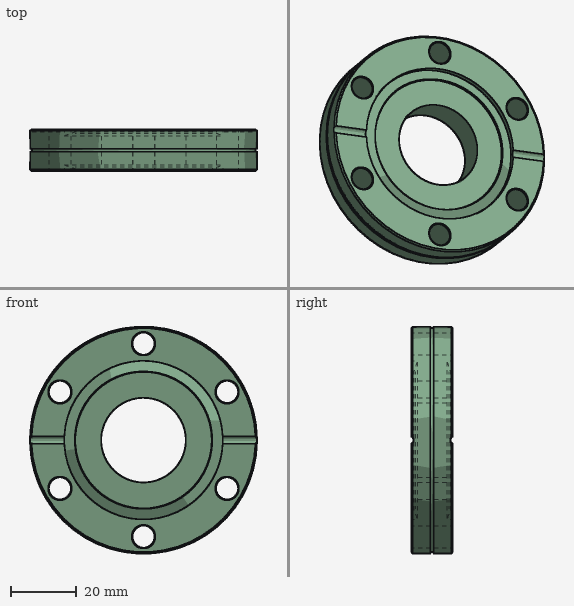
import cadquery as cq
import math

flange_diameter = 69.1
flange_thickness = 12.7
bore_diameter = 25.7
rim_chamfer = 0.5

recess_diameter = 48.26
recess_depth = 1.9
knife_diameter = 41.9
knife_angle = 20.0
knife_wall_base_diameter = 41.5
floor_depth = 1.25

bolt_count = 6
bolt_diameter = 6.7
bolt_circle_diameter = 58.7
bolt_chamfer = 0.25

leak_groove_width = 2.3
leak_groove_depth = 0.7
rim_groove_radius = 0.5

flange_radius = flange_diameter / 2
half_thickness = flange_thickness / 2


def mirrored_across_middle(points):
    """Mirror section points (radius, y) to the other face and reverse their order."""
    return [(radius, -y) for radius, y in reversed(points)]


def flange_body():
    """Revolve the whole ring section, with a knife edge in each face, about Y."""
    bore_radius = bore_diameter / 2
    recess_radius = recess_diameter / 2
    knife_radius = knife_diameter / 2
    knife_rise = (recess_radius - knife_radius) * math.tan(math.radians(knife_angle))
    face_y = -half_thickness
    recess_y = face_y + recess_depth
    floor_y = face_y + floor_depth
    front_points = [
        (bore_radius, floor_y),
        (knife_wall_base_diameter / 2, floor_y),
        (knife_radius, recess_y - knife_rise),
        (recess_radius, recess_y),
        (recess_radius, face_y),
        (flange_radius - rim_chamfer, face_y),
        (flange_radius, face_y + rim_chamfer),
        (flange_radius, -rim_groove_radius),
    ]
    back_points = mirrored_across_middle(front_points)
    groove_bottom = (flange_radius - rim_groove_radius, 0)
    section = cq.Workplane("XY").polyline(front_points)
    section = section.threePointArc(groove_bottom, back_points[0])
    section = section.polyline(back_points[1:], includeCurrent=True).close()
    return section.revolve(360, (0, 0, 0), (0, 1, 0))


def bolt_hole_cutter():
    """One through hole along Y at the top of the bolt circle, chamfered at both faces."""
    hole_radius = bolt_diameter / 2
    front_points = [
        (0, -half_thickness),
        (hole_radius + bolt_chamfer, -half_thickness),
        (hole_radius, -half_thickness + bolt_chamfer),
    ]
    section = cq.Workplane("XY").polyline(front_points + mirrored_across_middle(front_points)).close()
    cutter = section.revolve(360, (0, 0, 0), (0, 1, 0))
    return cutter.translate((0, 0, bolt_circle_diameter / 2))


def leak_groove_cutter(y_side):
    """Round groove along X across one face, from rim to rim."""
    half_width = leak_groove_width / 2
    groove_radius = (half_width**2 + leak_groove_depth**2) / (2 * leak_groove_depth)
    axis_y = half_thickness - leak_groove_depth + groove_radius
    return (
        cq.Workplane("YZ", origin=(-flange_radius, 0, 0))
        .center(y_side * axis_y, 0)
        .circle(groove_radius)
        .extrude(flange_diameter)
    )


def leak_groove_region():
    """Oversize ring outside the gasket recess, which keeps the leak grooves off the knife edge."""
    return (
        cq.Workplane("XZ")
        .circle(flange_diameter)
        .circle(recess_diameter / 2)
        .extrude(flange_thickness, both=True)
    )


result = flange_body()

for index in range(bolt_count):
    turn = index * 360 / bolt_count
    result = result.cut(bolt_hole_cutter().rotate((0, 0, 0), (0, 1, 0), turn))

for y_side in (-1, 1):
    result = result.cut(leak_groove_cutter(y_side).intersect(leak_groove_region()))